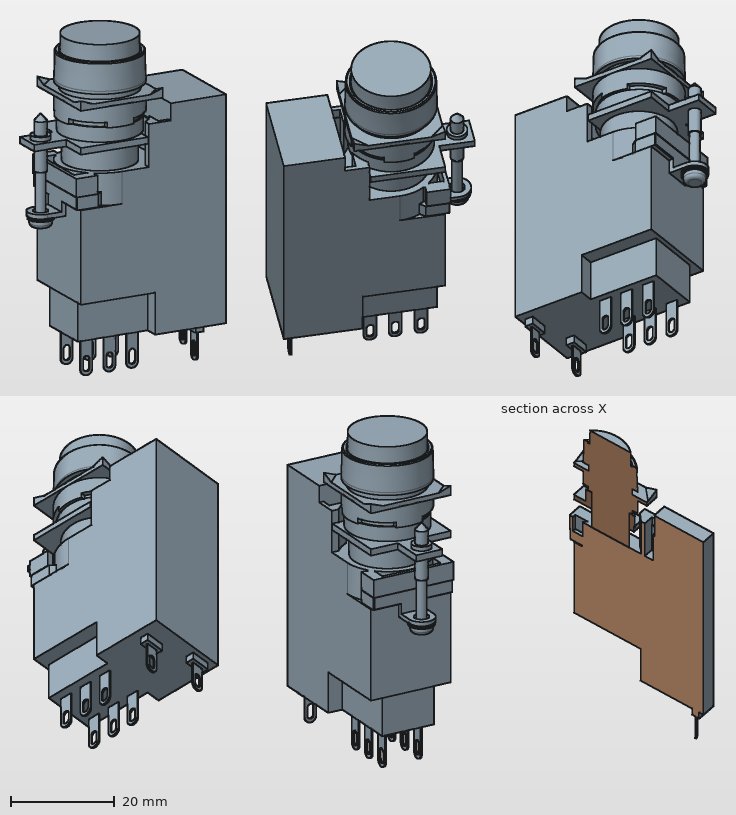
import cadquery as cq
import math


width = 17.9
half_width = width / 2
barrel_radius = 7.45

housing_back = 22.85
housing_front = -half_width
housing_top = 46.42
rear_tower_front = 10.77
step_top = 42.93
step_front = 5.96
socket_radius = 9.5
shoulder_top = 34.2
ledge_top = 27.65

key_slot_depth = 2.0
key_slot_half_width = 8.0
key_slot_front = 8.5
inner_slot_half_width = 7.85
inner_slot_back = 10.4

foot_height = 8.53
foot_half_width = 5.8
foot_back = 7.33
foot_front = -7.94

clamp_front = -9.97
clamp_back = -5.3
clamp_bottom = 30.4
clamp_window_half_width = 6.5
clamp_window_front = -9.16
clamp_web_half_width = 7.5
clamp_web_back = -4.9
clip_inset = 0.1
clip_half_width = half_width - clip_inset
clip_front = clamp_front + clip_inset
clip_bottom = ledge_top + clip_inset
clip_back = -5.1
clip_hook_half_width = 8.0
clip_hook_back = -4.0
clip_chamfer = 0.15
tab_half_width = 2.75
tab_top = 25.75
tab_bottom = 24.8
tab_hole_radius = 1.5

terminal_length = 7.75
terminal_width = 2.55
terminal_thickness = 0.35
eye_width = 1.4
eye_length = 3.1
eye_center = -5.4
contact_columns = (-4.2, 3.85)
contact_rows = (-5.08, 0.0, 4.95)
lamp_terminals = ((-5.0, 20.9), (5.0, 18.05))
lamp_base_width = 4.2
lamp_base_depth = 1.8
lamp_base_height = 1.62

cap_top = 59.86
cap_top_radius = 7.7
cap_foot_radius = 7.75
cap_gap_radius = 8.0
cap_gap_depth = 0.3
bezel_top = 56.55
bezel_top_radius = 8.8
bezel_chamfer = 0.25
bezel_band_top = 50.84
bezel_band_radius = 8.93
bezel_bottom = 50.2
neck_radius = 7.95
flange_top = 48.83
flange_bottom = 47.82
flange_corner_rise = 1.0
flange_corner_leg = 2.75
body_radius = 8.93
body_bottom = 43.36
notch_height = 1.08
notch_core_radius = 8.0
notch_wall = 2.95

plate_top = 40.31
plate_bottom = 38.95
ring_radius = 8.4
plate_back = 5.75
plate_tongue_half_width = 2.94
plate_tongue_front = -15.95
collar_radius = 2.0
collar_top = 41.18

screw_y = -13.0
screw_tip = 45.5
screw_cone_base = 44.05
screw_thread_radius = 1.27
screw_thread_bottom = 33.76
screw_shank_radius = 1.04
knurl_radius = 2.62
knurl_bottom = 24.2
knurl_count = 30
knurl_groove_width = 0.25
knurl_groove_depth = 0.15
head_radius = 2.25
head_dome_start = 23.4
head_bottom = 22.56
head_bottom_radius = 1.3


def block(x_min, x_max, y_min, y_max, z_min, z_max):
    """Box between two opposite corners."""
    size = (x_max - x_min, y_max - y_min, z_max - z_min)
    return cq.Workplane("XY").box(*size, centered=False).translate((x_min, y_min, z_min))


def wide_block(half, y_min, y_max, z_min, z_max):
    """Box centered on X = 0."""
    return block(-half, half, y_min, y_max, z_min, z_max)


def disc(radius, z_min, z_max, y=0.0):
    """Upright cylinder centered on X = 0."""
    return cq.Workplane("XY").center(0, y).circle(radius).extrude(z_max - z_min).translate((0, 0, z_min))


def solder_lug():
    """Round-ended lug with an eye, hanging below Z = 0 and flat across Y."""
    radius = terminal_width / 2
    lug = (
        cq.Workplane("XZ")
        .moveTo(-radius, 0)
        .lineTo(-radius, radius - terminal_length)
        .threePointArc((0, -terminal_length), (radius, radius - terminal_length))
        .lineTo(radius, 0)
        .close()
        .extrude(terminal_thickness / 2, both=True)
    )
    eye = cq.Workplane("XZ").center(0, eye_center).slot2D(eye_length, eye_width, 90)
    return lug.cut(eye.extrude(terminal_thickness, both=True))


def make_terminals():
    """Six contact lugs under the foot and two lamp lugs on bases at the back."""
    parts = []
    for x in contact_columns:
        for y in contact_rows:
            parts.append(solder_lug().rotate((0, 0, 0), (0, 0, 1), 90).translate((x, y, 0)))
    for x, y in lamp_terminals:
        parts.append(solder_lug().translate((x, y, 0)))
        base = cq.Workplane("XY").rect(lamp_base_width, lamp_base_depth).extrude(-lamp_base_height)
        parts.append(base.translate((x, y, 0)))
    return parts


def make_clip():
    """Clip under the clamp block, with hooked ends and a tab that holds the screw."""
    outline = [
        (-clip_hook_half_width, clip_hook_back),
        (-clip_half_width, clip_back),
        (-clip_half_width, clip_front),
        (clip_half_width, clip_front),
        (clip_half_width, clip_back),
        (clip_hook_half_width, clip_hook_back),
    ]
    clip = cq.Workplane("XY").polyline(outline).close().extrude(clamp_bottom - clip_bottom)
    clip = clip.translate((0, 0, clip_bottom))
    clip = clip.faces("<Y").edges("|Z or <Z").chamfer(clip_chamfer)
    hanger = wide_block(tab_half_width, clip_front, housing_front, tab_bottom, clamp_bottom)
    tab = wide_block(tab_half_width, screw_y, housing_front, tab_bottom, tab_top)
    tab = tab.union(disc(tab_half_width, tab_bottom, tab_top, screw_y))
    tab = tab.cut(disc(tab_hole_radius, tab_bottom, tab_top, screw_y))
    return clip.union(hanger).union(tab)


def make_clamp():
    """Block across the front of the round neck, with a window behind its front wall."""
    clamp = wide_block(half_width, clamp_front, clamp_back, clamp_bottom, shoulder_top)
    clamp = clamp.union(
        wide_block(clamp_web_half_width, clamp_back, clamp_web_back, clamp_bottom, shoulder_top)
    )
    return clamp.cut(
        wide_block(clamp_window_half_width, clamp_window_front, 0, clamp_bottom, shoulder_top)
    )


def make_housing():
    """Stepped case with the clamp, the clip and the terminals."""
    housing = wide_block(half_width, rear_tower_front, housing_back, 0, housing_top)
    housing = housing.union(wide_block(half_width, step_front, rear_tower_front, 0, step_top))
    housing = housing.cut(disc(socket_radius, shoulder_top, step_top))

    slot_bottom = step_top - key_slot_depth
    housing = housing.cut(
        wide_block(key_slot_half_width, key_slot_front, rear_tower_front, slot_bottom, step_top)
    )
    housing = housing.cut(
        wide_block(inner_slot_half_width, key_slot_front, inner_slot_back, shoulder_top, slot_bottom)
    )

    housing = housing.union(wide_block(half_width, 0, step_front, foot_height, shoulder_top))
    housing = housing.union(wide_block(half_width, housing_front, 0, foot_height, ledge_top))
    housing = housing.union(make_clamp()).union(make_clip())
    housing = housing.union(disc(half_width, ledge_top, shoulder_top))

    housing = housing.union(wide_block(foot_half_width, foot_front, step_front, 0, foot_height))
    for side in (-1, 1):
        inner, outer = sorted((side * foot_half_width, side * half_width))
        housing = housing.cut(block(inner, outer, step_front, foot_back, 0, foot_height))

    for terminal in make_terminals():
        housing = housing.union(terminal)
    return housing


def flange_corner():
    """Ramp that rises to the +X +Y corner of the flange."""
    inner = half_width - flange_corner_leg
    corners = [
        cq.Vector(half_width, half_width, flange_top),
        cq.Vector(inner, half_width, flange_top),
        cq.Vector(half_width, inner, flange_top),
        cq.Vector(half_width, half_width, flange_top + flange_corner_rise),
    ]
    faces = []
    for skipped in range(len(corners)):
        triangle = corners[:skipped] + corners[skipped + 1:]
        faces.append(cq.Face.makeFromWires(cq.Wire.makePolygon(triangle, close=True)))
    return cq.Workplane(obj=cq.Solid.makeSolid(cq.Shell.makeShell(faces)))


def make_operator():
    """Cap, bezel, square flange, notched body and barrel, from the top down."""
    cap_and_bezel = (
        cq.Workplane("XZ")
        .moveTo(0, bezel_bottom)
        .lineTo(bezel_band_radius, bezel_bottom)
        .lineTo(bezel_band_radius, bezel_band_top)
        .lineTo(bezel_top_radius, bezel_top - bezel_chamfer)
        .lineTo(bezel_top_radius - bezel_chamfer, bezel_top)
        .lineTo(cap_gap_radius, bezel_top)
        .lineTo(cap_gap_radius, bezel_top - cap_gap_depth)
        .lineTo(cap_foot_radius, bezel_top - cap_gap_depth)
        .lineTo(cap_top_radius, cap_top)
        .lineTo(0, cap_top)
        .close()
        .revolve()
    )
    operator = cap_and_bezel.union(disc(neck_radius, flange_top, bezel_bottom))

    operator = operator.union(wide_block(half_width, -half_width, half_width, flange_bottom, flange_top))
    for quarter in range(4):
        operator = operator.union(flange_corner().rotate((0, 0, 0), (0, 0, 1), 90 * quarter))

    notch_top = body_bottom + notch_height
    body = disc(body_radius, body_bottom, flange_bottom)
    notch = block(notch_wall, body_radius, notch_wall, body_radius, body_bottom, notch_top)
    notch = notch.cut(disc(notch_core_radius, body_bottom, notch_top))
    for quarter in range(4):
        body = body.cut(notch.rotate((0, 0, 0), (0, 0, 1), 90 * quarter))

    return operator.union(body).union(disc(barrel_radius, shoulder_top, body_bottom))


def make_lock_plate():
    """Plate with a ring around the barrel and a tongue with a collar for the screw."""
    plate = wide_block(half_width, -half_width, plate_back, plate_bottom, plate_top)
    plate = plate.union(
        wide_block(plate_tongue_half_width, plate_tongue_front, -half_width, plate_bottom, plate_top)
    )
    plate = plate.union(disc(ring_radius, plate_top, body_bottom))
    plate = plate.union(disc(collar_radius, plate_top, collar_top, screw_y))
    plate = plate.cut(disc(barrel_radius, plate_bottom, body_bottom))
    return plate.cut(disc(screw_thread_radius, plate_bottom, collar_top, screw_y))


def make_screw():
    """Pointed screw with a knurled collar and a domed head below the tab."""
    dome_angle = math.radians(45)
    dome_middle = (
        head_bottom_radius + (head_radius - head_bottom_radius) * math.sin(dome_angle),
        head_dome_start + (head_bottom - head_dome_start) * math.cos(dome_angle),
    )
    screw = (
        cq.Workplane("XZ")
        .moveTo(0, screw_tip)
        .lineTo(screw_thread_radius, screw_cone_base)
        .lineTo(screw_thread_radius, screw_thread_bottom)
        .lineTo(screw_shank_radius, screw_thread_bottom)
        .lineTo(screw_shank_radius, tab_bottom)
        .lineTo(knurl_radius, tab_bottom)
        .lineTo(knurl_radius, knurl_bottom)
        .lineTo(head_radius, knurl_bottom)
        .lineTo(head_radius, head_dome_start)
        .threePointArc(dome_middle, (head_bottom_radius, head_bottom))
        .lineTo(0, head_bottom)
        .close()
        .revolve()
    )
    grooves = (
        cq.Workplane("XY")
        .workplane(offset=knurl_bottom)
        .polarArray(knurl_radius, 0, 360, knurl_count)
        .rect(2 * knurl_groove_depth, knurl_groove_width)
        .extrude(tab_bottom - knurl_bottom)
    )
    return screw.cut(grooves).translate((0, screw_y, 0))


housing = make_housing()
operator = make_operator()
lock_plate = make_lock_plate()
screw = make_screw()

bodies = (housing, operator, lock_plate, screw)
result = cq.Compound.makeCompound([body.solids().val() for body in bodies])